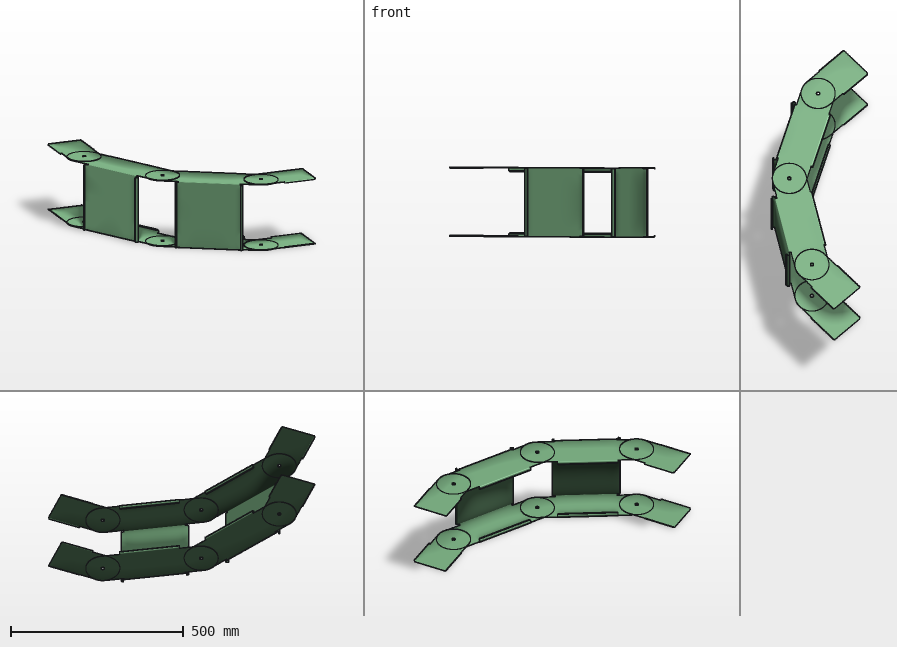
import cadquery as cq
import math

overall_size = 595
overall_height = 203.5
sheet = 1.6
half_width = 49.5
hinge_pitch = 287.5
hinge_hole = 9.5
link_turn = 30
end_flange_length = 97.0
end_flange_radius = 3.5
lip_length = 175.0
lip_radius = 5.05
tip_height = 2.5
tip_chamfer = 2.5
back_length = 180.0
back_step = 3.5
back_radius = 2.1
hook_run = 4.0

turn = math.radians(link_turn)
hinge_span = hinge_pitch * (math.cos(turn) + math.sin(turn))
end_length = overall_size - hinge_span - half_width - end_flange_radius
channel_height = overall_height - 2 * sheet
top = channel_height / 2
back_face = half_width + back_step + back_radius
back_height = channel_height - 2 * back_radius


def bend(radius, angle, length):
    """Sheet leaving the origin towards +X, bent by `angle` towards -Y, `length` long in Z."""
    def on_arc(arc_radius, degrees):
        theta = math.radians(degrees)
        return (arc_radius * math.sin(theta), arc_radius * math.cos(theta) - radius)

    inner_radius = radius - sheet
    return (
        cq.Workplane("XY")
        .moveTo(*on_arc(radius, 0))
        .threePointArc(on_arc(radius, angle / 2), on_arc(radius, angle))
        .lineTo(*on_arc(inner_radius, angle))
        .threePointArc(on_arc(inner_radius, angle / 2), on_arc(inner_radius, 0))
        .close()
        .extrude(length)
    )


def rolled_lip(length):
    """Half-round roll like `bend`, ending in a short tip that stands out squarely along -Y."""
    roll = bend(lip_radius, 180, length)
    tip = (
        cq.Workplane("XY")
        .box(sheet, tip_height + sheet, length, centered=False)
        .edges("|X and <Y").chamfer(tip_chamfer)
        .translate((-sheet, -2 * lip_radius - tip_height, 0))
    )
    return roll.union(tip)


def placed(strip, origin, outward, along):
    """Strip moved to `origin` with its X axis towards `outward` and its length running `along`."""
    plane = cq.Plane(origin=origin, xDir=outward, normal=along)
    return cq.Workplane(strip.val().moved(plane.location))


def link_plate():
    """Upper link plate, rounded at both hinges, with its rolled lip and the wider back edge."""
    plate = (
        cq.Workplane("XY").workplane(offset=top - sheet)
        .slot2D(hinge_pitch + 2 * half_width, 2 * half_width)
        .extrude(sheet)
    )
    lip = placed(rolled_lip(lip_length),
                 (-lip_length / 2, half_width, top), (0, 1, 0), (1, 0, 0))
    back_edge = cq.Workplane("XY").box(
        back_length, half_width + back_step, sheet, centered=(True, False, False)
    ).translate((0, -half_width - back_step, top - sheet))
    back_bend = placed(bend(back_radius, 90, back_length),
                       (back_length / 2, -half_width - back_step, top), (0, -1, 0), (-1, 0, 0))
    return plate.union(lip).union(back_edge).union(back_bend)


def back_wall():
    """Wall that joins the two link plates, with a hook rolled outwards at each end."""
    hook_start = back_length / 2 + hook_run
    wall = cq.Workplane("XY").box(
        2 * hook_start, sheet, back_height, centered=(True, False, True)
    ).translate((0, -back_face, 0))
    hook = placed(rolled_lip(back_height),
                  (hook_start, -back_face + sheet, -back_height / 2), (1, 0, 0), (0, 0, 1))
    return wall.union(hook).union(hook.mirror("YZ"))


def link():
    """Channel made of two link plates and the back wall, centred between its hinges."""
    plate = link_plate()
    return plate.union(plate.mirror("XY")).union(back_wall())


def end_plate():
    """Upper end plate with the hinge at the origin, its free edge towards -X."""
    plate = (
        cq.Workplane("XY").workplane(offset=top - sheet)
        .moveTo(-end_length, -half_width)
        .lineTo(0, -half_width)
        .threePointArc((half_width, 0), (0, half_width))
        .lineTo(-end_length, half_width)
        .close()
        .extrude(sheet)
    )
    flange = placed(bend(end_flange_radius, 90, end_flange_length),
                    (-end_length, half_width, top), (0, 1, 0), (1, 0, 0))
    corner = (
        cq.Workplane("XY").workplane(offset=top - end_flange_radius)
        .moveTo(-end_length, half_width)
        .lineTo(-end_length, half_width + end_flange_radius)
        .lineTo(-end_length + end_flange_radius, half_width + end_flange_radius)
        .close()
        .extrude(end_flange_radius)
    )
    flange = flange.cut(corner)
    return plate.union(flange).union(flange.mirror("XZ"))


def tray_half():
    """Link with a pair of end plates one sheet above its plates, its free hinge at the origin."""
    plate = end_plate()
    ends = plate.union(plate.mirror("XY")).rotate((0, 0, 0), (0, 0, 1), -link_turn)
    ends = ends.translate((-hinge_pitch / 2, 0, sheet))
    holes = (
        cq.Workplane("XY").workplane(offset=-overall_height)
        .pushPoints([(-hinge_pitch / 2, 0), (hinge_pitch / 2, 0)])
        .circle(hinge_hole / 2)
        .extrude(2 * overall_height)
    )
    half = link().union(ends).cut(holes)
    return half.translate((-hinge_pitch / 2, 0, 0)).rotate((0, 0, 0), (0, 0, 1), link_turn)


first_half = tray_half()
second_half = first_half.mirror("YZ").rotate((0, 0, 0), (0, 0, 1), 90).translate((0, 0, -sheet))

result = cq.Compound.makeCompound([first_half.val(), second_half.val()])